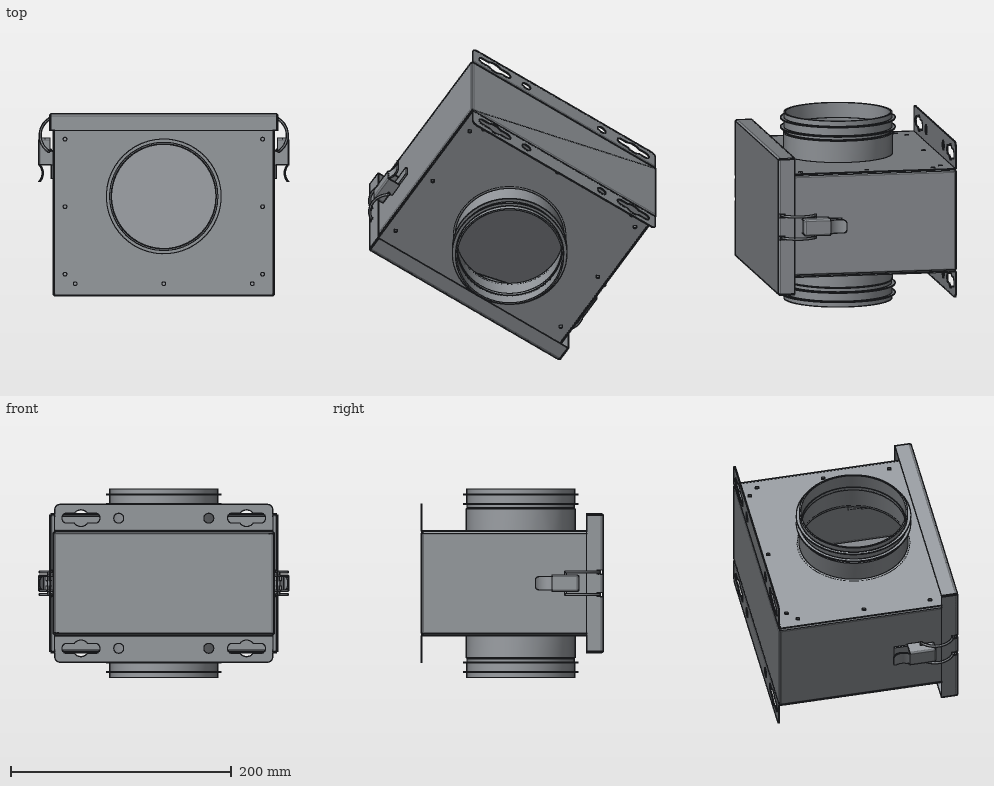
import cadquery as cq
import math

SHEET = 1.0

FRONT_Y = -82.5
BACK_Y = 82.6

BOX_HALF_X = 100.3
BOX_HALF_Z = 46.6
BOX_EDGE_RADIUS = 2.3
BOX_BACK_Y = 80.0

COVER_HALF_X = 98.7
COVER_TOP_Z = BOX_HALF_Z + SHEET
FLANGE_BEND_RADIUS = 1.4
RIM_BEND_RADIUS = 1.1
FLANGE_TOP_Z = 71.5
FLANGE_CORNER_RADIUS = 5.0
RIM_TOP_Z = 60.2

FLANGE_HOLE_Z = 58.9
ROUND_HOLE_X = 40.8
ROUND_HOLE_DIAMETER = 9
KEYHOLE_X = 75.0
KEYHOLE_LENGTH = 34.5
KEYHOLE_WIDTH = 9
KEYHOLE_HEAD_DIAMETER = 15.0

RIVET_DIAMETER = 3.5
SIDE_RIVET_X = 89.5
SIDE_RIVET_MIDDLE_Y = -1.5
SIDE_RIVET_PITCH = 61.1
FRONT_RIVET_Y = -71.3
FRONT_RIVET_PITCH = 80.1

CAVITY_HALF_X = BOX_HALF_X - SHEET
CAVITY_HALF_Z = BOX_HALF_Z - SHEET
BAFFLE_FRONT_Y = FRONT_Y + SHEET
BAFFLE_BACK_Y = BOX_BACK_Y - SHEET

SPIGOT_Y = 7.7
SPIGOT_TOP_Z = 85.47
COLLAR_DIAMETER = 99.0
COLLAR_BORE = 97.0
COLLAR_TOP_Z = 68
COLLAR_BORE_TOP_Z = 68.4
NECK_DIAMETER = 97.4
NECK_BORE = 94.5
NECK_BORE_TOP_Z = 71.8
SLEEVE_DIAMETER = 98.0
SLEEVE_BORE = 95.3
SEAL_LIP_DIAMETER = 104.0
SEAL_LIP_THICKNESS = 1.0
SEAL_LIP_ZS = (71.8, 80.4)
BOX_OPENING_DIAMETER = 102.0

LID_HALF_X = 103.5
LID_HALF_Z = 63.0
LID_FRONT_Y = 67.5
LID_BEND_INNER_RADIUS = 1.1
LID_BEND_RADIUS = LID_BEND_INNER_RADIUS + SHEET
LID_CORNER_GAP = 0.2

LATCH_OUTER_X = 113.2
LEVER_HALF_Z = 7.5
LEVER_SHEET = 1.4
LEVER_FRONT_Y = 36.2
LEVER_BACK_Y = 60.7
LEVER_BACK_RADIUS = 2.0
LEVER_BACK_WALL_X = 107.3
CHEEK_INNER_X = 102.8
CHEEK_STEP_Y = 48.7
BASE_THICKNESS = 1.5
BASE_FRONT_Y = 23.8
TONGUE_HALF_Z = LEVER_HALF_Z - LEVER_SHEET
TONGUE_TIP_Y = 21.0
TONGUE_BEND_X = 109.5
TONGUE_BEND_Y = 27.8
TONGUE_TIP_RADIUS = 3.5
PIVOT_DIAMETER = 2.5
PIVOT_X = 108.7
PIVOT_Y = 56.0
LINK_THICKNESS = 1.1
LINK_NECK_X = 106.5
LINK_NECK_HALF_Z = 2.5
WIRE_DIAMETER = 2.0
WIRE_HALF_Z = 10.2
WIRE_LID_X = LID_HALF_X - LID_BEND_RADIUS
WIRE_LID_Y = 79.0
WIRE_BOW_X = 111.8
WIRE_BOW_Y = 64.0
WIRE_LEVER_X = 104.1
WIRE_LEVER_Y = 48.5
WIRE_SLOT_WIDTH = 3.6
WIRE_SLOT_DEPTH = 5.9


def block(x0, x1, y0, y1, z0, z1):
    """Box given by its limits along each axis."""
    return cq.Workplane("XY").box(x1 - x0, y1 - y0, z1 - z0, centered=False).translate((x0, y0, z0))


def mirror_z(shape):
    return shape.mirror("XY")


def make_box():
    """Hollow box with rounded edges and an open end towards the lid."""
    outer = block(-BOX_HALF_X, BOX_HALF_X, FRONT_Y, BOX_BACK_Y, -BOX_HALF_Z, BOX_HALF_Z)
    outer = outer.edges("|Y or <Y").fillet(BOX_EDGE_RADIUS)
    cavity = block(
        -CAVITY_HALF_X, CAVITY_HALF_X, FRONT_Y + SHEET, BOX_BACK_Y, -CAVITY_HALF_Z, CAVITY_HALF_Z
    )
    return outer.cut(cavity)


def make_cover():
    """Top cover plate, bent up into the mounting flange in front and into the rim at the back."""
    outline = (
        cq.Workplane("YZ")
        .moveTo(FRONT_Y, FLANGE_TOP_Z)
        .lineTo(FRONT_Y, BOX_HALF_Z)
        .lineTo(BOX_BACK_Y, BOX_HALF_Z)
        .lineTo(BOX_BACK_Y, RIM_TOP_Z)
        .lineTo(BOX_BACK_Y - SHEET, RIM_TOP_Z)
        .lineTo(BOX_BACK_Y - SHEET, COVER_TOP_Z)
        .lineTo(FRONT_Y + SHEET, COVER_TOP_Z)
        .lineTo(FRONT_Y + SHEET, FLANGE_TOP_Z)
        .close()
        .extrude(COVER_HALF_X, both=True)
    )
    flange_bend = cq.selectors.NearestToPointSelector((0, FRONT_Y, BOX_HALF_Z))
    rim_bend = cq.selectors.NearestToPointSelector((0, BOX_BACK_Y - SHEET, COVER_TOP_Z))
    cover = outline.edges("|X").edges(flange_bend).fillet(FLANGE_BEND_RADIUS)
    cover = cover.edges("|X").edges(rim_bend).fillet(RIM_BEND_RADIUS)
    return cover.edges("|Y and >Z").fillet(FLANGE_CORNER_RADIUS)


def flange_holes():
    """Cutters for the round holes and the keyholes of one mounting flange."""
    plane = cq.Workplane("XZ", origin=(0, FRONT_Y + 2 * SHEET, FLANGE_HOLE_Z))
    depth = 3 * SHEET
    keyhole_places = [(-KEYHOLE_X, 0), (KEYHOLE_X, 0)]
    round_holes = plane.pushPoints([(-ROUND_HOLE_X, 0), (ROUND_HOLE_X, 0)])
    round_holes = round_holes.circle(ROUND_HOLE_DIAMETER / 2).extrude(depth)
    slots = plane.pushPoints(keyhole_places).slot2D(KEYHOLE_LENGTH, KEYHOLE_WIDTH).extrude(depth)
    heads = plane.pushPoints(keyhole_places).circle(KEYHOLE_HEAD_DIAMETER / 2).extrude(depth)
    return round_holes.union(slots).union(heads)


def rivet_holes():
    """Cutters through both covers and the box walls under them."""
    side = [
        (sign * SIDE_RIVET_X, SIDE_RIVET_MIDDLE_Y + row * SIDE_RIVET_PITCH)
        for sign in (-1, 1)
        for row in (-1, 0, 1)
    ]
    front = [(column * FRONT_RIVET_PITCH, FRONT_RIVET_Y) for column in (-1, 0, 1)]
    upper = (
        cq.Workplane("XY", origin=(0, 0, CAVITY_HALF_Z))
        .pushPoints(side + front)
        .circle(RIVET_DIAMETER / 2)
        .extrude(2 * SHEET)
    )
    return upper.union(mirror_z(upper))


def make_baffle():
    """Flat sheet that crosses the cavity from one long edge to the opposite one."""
    slope = math.degrees(math.atan2(CAVITY_HALF_Z, CAVITY_HALF_X))
    sheet = block(
        -BOX_HALF_X * 2, BOX_HALF_X * 2, BAFFLE_FRONT_Y, BAFFLE_BACK_Y, -SHEET / 2, SHEET / 2
    ).rotate((0, 0, 0), (0, 1, 0), -slope)
    cavity = block(
        -CAVITY_HALF_X, CAVITY_HALF_X, FRONT_Y, BACK_Y, -CAVITY_HALF_Z, CAVITY_HALF_Z
    )
    return sheet.intersect(cavity)


def turned(half_profile):
    """Solid of revolution around the spigot axis from (radius, z) points."""
    solid = cq.Workplane("XZ").polyline(half_profile).close().revolve(360, (0, 0, 0), (0, 1, 0))
    return solid.translate((0, SPIGOT_Y, 0))


def make_spigot():
    """Upper spigot: collar, slightly narrower neck and sleeve, and two seal lips."""
    collar_taper = (COLLAR_DIAMETER - NECK_DIAMETER) / 2
    neck_top_z = SEAL_LIP_ZS[0]
    spigot = turned([
        (0, BOX_HALF_Z),
        (COLLAR_DIAMETER / 2, BOX_HALF_Z),
        (COLLAR_DIAMETER / 2, COLLAR_TOP_Z - collar_taper),
        (NECK_DIAMETER / 2, COLLAR_TOP_Z),
        (NECK_DIAMETER / 2, neck_top_z),
        (SLEEVE_DIAMETER / 2, neck_top_z),
        (SLEEVE_DIAMETER / 2, SPIGOT_TOP_Z),
        (0, SPIGOT_TOP_Z),
    ])
    for z in SEAL_LIP_ZS:
        lip = cq.Workplane("XY", origin=(0, SPIGOT_Y, z)).circle(SEAL_LIP_DIAMETER / 2)
        spigot = spigot.union(lip.extrude(SEAL_LIP_THICKNESS / 2, both=True))
    return spigot


def spigot_passage():
    """Cutter for the passage through the upper spigot, the cover and the box wall."""
    return turned([
        (0, CAVITY_HALF_Z),
        (BOX_OPENING_DIAMETER / 2, CAVITY_HALF_Z),
        (BOX_OPENING_DIAMETER / 2, BOX_HALF_Z),
        (COLLAR_BORE / 2, BOX_HALF_Z),
        (COLLAR_BORE / 2, COLLAR_BORE_TOP_Z),
        (NECK_BORE / 2, COLLAR_BORE_TOP_Z),
        (NECK_BORE / 2, NECK_BORE_TOP_Z),
        (SLEEVE_BORE / 2, NECK_BORE_TOP_Z),
        (SLEEVE_BORE / 2, SPIGOT_TOP_Z),
        (0, SPIGOT_TOP_Z),
    ])


def make_housing():
    housing = make_box()
    upper = make_cover().cut(flange_holes()).union(make_spigot())
    opening = spigot_passage()
    for half, passage in ((upper, opening), (mirror_z(upper), mirror_z(opening))):
        housing = housing.union(half).cut(passage)
    housing = housing.cut(rivet_holes())
    return housing.union(make_baffle())


def bent_channel(plane, half_span, half_length):
    """Sheet bent to a U whose web is the lid's back plate."""
    def bent_block(half, back_y, radius):
        solid = cq.Workplane(plane).moveTo(-half, LID_FRONT_Y).lineTo(half, LID_FRONT_Y)
        solid = solid.lineTo(half, back_y).lineTo(-half, back_y).close()
        return solid.extrude(half_length, both=True).edges("|Z and >Y").fillet(radius)

    outer = bent_block(half_span, BACK_Y, LID_BEND_RADIUS)
    inner = bent_block(half_span - SHEET, BACK_Y - SHEET, LID_BEND_INNER_RADIUS)
    return outer.cut(inner)


def wire_slots():
    """Cutters for the four slots that let the latch wires through the lid's side bends."""
    slots = cq.Workplane("XY")
    for side in (-1, 1):
        for level in (-1, 1):
            slot = cq.Workplane("XY").box(2 * LID_BEND_RADIUS, 2 * WIRE_SLOT_DEPTH, WIRE_SLOT_WIDTH)
            slots = slots.add(slot.translate((side * LID_HALF_X, BACK_Y, level * WIRE_HALF_Z)))
    return slots.combine()


def make_lid():
    """Shallow tray with bent edges and open corners."""
    sides = bent_channel("XY", LID_HALF_X, LID_HALF_Z - SHEET - LID_CORNER_GAP)
    top_and_bottom = bent_channel("XY", LID_HALF_Z, LID_HALF_X - SHEET - LID_CORNER_GAP)
    top_and_bottom = top_and_bottom.rotate((0, 0, 0), (0, 1, 0), 90)
    return sides.union(top_and_bottom).cut(wire_slots())


def make_lever():
    """Channel-shaped lever with two cheeks and a wall across its back end, on the +X side."""
    channel = (
        cq.Workplane("XY")
        .moveTo(BOX_HALF_X, LEVER_FRONT_Y)
        .lineTo(LATCH_OUTER_X, LEVER_FRONT_Y)
        .lineTo(LATCH_OUTER_X, LEVER_BACK_Y)
        .lineTo(CHEEK_INNER_X, LEVER_BACK_Y)
        .lineTo(CHEEK_INNER_X, CHEEK_STEP_Y)
        .lineTo(BOX_HALF_X, CHEEK_STEP_Y)
        .close()
        .extrude(LEVER_HALF_Z, both=True)
        .edges("|Y and >X")
        .fillet(LEVER_SHEET)
    )
    back_corner = cq.selectors.NearestToPointSelector((LATCH_OUTER_X, LEVER_BACK_Y, 0))
    channel = channel.edges("|Z").edges(back_corner).fillet(LEVER_BACK_RADIUS)
    inner_x = LATCH_OUTER_X - LEVER_SHEET
    inner_back_y = LEVER_BACK_Y - LEVER_SHEET
    inside = block(BOX_HALF_X, inner_x, LEVER_FRONT_Y, inner_back_y, -TONGUE_HALF_Z, TONGUE_HALF_Z)
    inside = inside.edges("|Z and >X and >Y").fillet(LEVER_BACK_RADIUS - LEVER_SHEET)
    open_back = block(
        BOX_HALF_X, LEVER_BACK_WALL_X, LEVER_FRONT_Y, LEVER_BACK_Y, -TONGUE_HALF_Z, TONGUE_HALF_Z
    )
    return channel.cut(inside).cut(open_back)


def make_tongue():
    """Finger tongue: a strip with a round tip that bows towards the box."""
    inset = LATCH_OUTER_X - LEVER_SHEET
    tongue = (
        cq.Workplane("XY")
        .moveTo(LATCH_OUTER_X, LEVER_FRONT_Y)
        .threePointArc((TONGUE_BEND_X + LEVER_SHEET / 2, TONGUE_BEND_Y), (LATCH_OUTER_X, TONGUE_TIP_Y))
        .lineTo(inset, TONGUE_TIP_Y)
        .threePointArc((TONGUE_BEND_X - LEVER_SHEET / 2, TONGUE_BEND_Y), (inset, LEVER_FRONT_Y))
        .close()
        .extrude(TONGUE_HALF_Z, both=True)
    )
    rounded_width = block(
        BOX_HALF_X, LATCH_OUTER_X, TONGUE_TIP_Y, LEVER_FRONT_Y, -TONGUE_HALF_Z, TONGUE_HALF_Z
    ).edges("|X and <Y").fillet(TONGUE_TIP_RADIUS)
    return tongue.intersect(rounded_width)


def make_link():
    """Flat T-shaped link from the pivot pin down to the end of the base."""
    base_x = BOX_HALF_X + BASE_THICKNESS / 2
    run_x = PIVOT_X - base_x
    run_y = PIVOT_Y - CHEEK_STEP_Y
    strip = (
        cq.Workplane("XY")
        .center((PIVOT_X + base_x) / 2, (PIVOT_Y + CHEEK_STEP_Y) / 2)
        .transformed(rotate=(0, 0, math.degrees(math.atan2(run_y, run_x))))
        .rect(math.hypot(run_x, run_y), LINK_THICKNESS)
        .extrude(TONGUE_HALF_Z, both=True)
    )
    neck_sides = block(
        BOX_HALF_X, LINK_NECK_X, LEVER_FRONT_Y, LEVER_BACK_Y, LINK_NECK_HALF_Z, TONGUE_HALF_Z
    )
    return strip.cut(neck_sides).cut(mirror_z(neck_sides))


def make_wire():
    """Closed wire loop: two bowed arms joined by a bar inside the lid and one in the lever."""
    radius = WIRE_DIAMETER / 2
    start = (WIRE_LID_X, WIRE_LID_Y)
    bow = (WIRE_BOW_X, WIRE_BOW_Y)
    end = (WIRE_LEVER_X, WIRE_LEVER_Y)
    arm_path = cq.Workplane("XY").moveTo(*start).threePointArc(bow, end)
    tangent = arm_path.val().tangentAt(0)
    section_plane = cq.Plane(origin=(*start, 0), xDir=(0, 0, 1), normal=tangent.toTuple())
    arm = cq.Workplane(section_plane).circle(radius).sweep(arm_path)
    bars = cq.Workplane("XY").pushPoints([start, end]).circle(radius).extrude(WIRE_HALF_Z, both=True)
    loop = bars
    for level in (-1, 1):
        loop = loop.union(arm.translate((0, 0, level * WIRE_HALF_Z)))
        for place in (start, end):
            elbow = cq.Workplane("XY").sphere(radius)
            loop = loop.union(elbow.translate((*place, level * WIRE_HALF_Z)))
    return loop


def make_latch(side):
    """Whole latch on the side -1 (-X) or 1 (+X)."""
    base = block(
        BOX_HALF_X, BOX_HALF_X + BASE_THICKNESS, BASE_FRONT_Y, CHEEK_STEP_Y, -TONGUE_HALF_Z, TONGUE_HALF_Z
    )
    pivot = (
        cq.Workplane("XY")
        .center(PIVOT_X, PIVOT_Y)
        .circle(PIVOT_DIAMETER / 2)
        .extrude(LEVER_HALF_Z, both=True)
    )
    latch = make_lever().union(make_tongue()).union(base).union(pivot).union(make_link()).union(make_wire())
    return latch if side > 0 else latch.mirror("YZ")


housing = make_housing()
lid = make_lid()
latches = [make_latch(side) for side in (-1, 1)]

result = cq.Compound.makeCompound([housing.val(), lid.val(), *[latch.val() for latch in latches]])